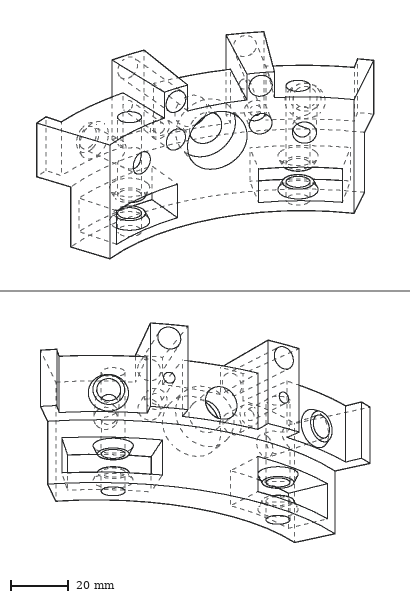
import cadquery as cq
import math

middle_angle = 30.0
half_span = 35.0
overall_length = 109.3

inner_radius = 79.7
lower_radius = 96.0
upper_radius = 103.5
first_end = math.radians(half_span - middle_angle)
last_end = math.radians(half_span + middle_angle)
flange_radius = overall_length / (math.sin(first_end) + math.sin(last_end))

shelf_height = 23.5
body_height = 44.6
rib_height = 54.7
window_floor = 3.9
window_ceiling = 17.0

flange_start = 32.0
rib_start, rib_end = 8.0, 15.0
window_start, window_end = 11.0, 32.0

port_height = 30.6
middle_bore_diameter = 12.0
middle_counterbore_diameter = 22.3
middle_counterbore_depth = 10.0

rib_hole_angle = (rib_start + rib_end) / 2
rib_upper_hole_height = 49.6
rib_upper_hole_diameter = 8.2
rib_screw_height = 34.8
rib_screw_diameter = 4.0
rib_counterbore_diameter = 8.0
rib_counterbore_depth = 10.0

pin_hole_diameter = 8.3
seat_base_diameter = 14.0
seat_tip_diameter = 11.0
seat_height = 3.1
radial_pin_angle = 22.5
vertical_pin_angle = 21.0
vertical_pin_radius = 88.0


def bearing_direction(bearing):
    """Unit vector pointing away from the ring axis at the given bearing."""
    angle = math.radians(bearing)
    return cq.Vector(-math.cos(angle), math.sin(angle), 0)


def ring_sector(radius, bottom, top, start, end):
    """Solid between the inner wall and a radius, over a range of bearings."""
    middle = (start + end) / 2

    def point(distance, bearing):
        return (bearing_direction(bearing) * distance).toTuple()[:2]

    return (
        cq.Workplane("XY", origin=(0, 0, bottom))
        .moveTo(*point(inner_radius, start))
        .lineTo(*point(radius, start))
        .threePointArc(point(radius, middle), point(radius, end))
        .lineTo(*point(inner_radius, end))
        .threePointArc(point(inner_radius, middle), point(inner_radius, start))
        .close()
        .extrude(top - bottom)
    )


def paired_sector(side, radius, bottom, top, near, far):
    """Ring sector on one side (+1 or -1) of the middle angle."""
    limits = sorted((middle_angle + side * near, middle_angle + side * far))
    return ring_sector(radius, bottom, top, *limits)


def radial_cylinder(bearing, height, diameter, start_radius, end_radius):
    """Cylinder along a radial line, between two distances from the ring axis."""
    direction = bearing_direction(bearing)
    start = direction * start_radius + cq.Vector(0, 0, height)
    return cq.Solid.makeCylinder(diameter / 2, end_radius - start_radius, start, direction)


def seat(base_centre, direction):
    """Conical seat standing on its wide end."""
    return cq.Solid.makeCone(
        seat_base_diameter / 2, seat_tip_diameter / 2, seat_height, base_centre, direction
    )


clearance = 5.5
cut_start = inner_radius - clearance
cut_end = flange_radius + clearance

span = (middle_angle - half_span, middle_angle + half_span)
result = ring_sector(lower_radius, 0, shelf_height, *span)
result = result.union(ring_sector(upper_radius, shelf_height, body_height, *span))

for side in (-1, 1):
    result = result.union(
        paired_sector(side, flange_radius, shelf_height, body_height, flange_start, half_span)
    )
    result = result.union(
        paired_sector(side, flange_radius, shelf_height, rib_height, rib_start, rib_end)
    )
    result = result.cut(
        paired_sector(side, flange_radius, window_floor, window_ceiling, window_start, window_end)
    )

result = result.cut(
    radial_cylinder(middle_angle, port_height, middle_bore_diameter, cut_start, cut_end)
)
result = result.cut(
    radial_cylinder(
        middle_angle,
        port_height,
        middle_counterbore_diameter,
        cut_start,
        inner_radius + middle_counterbore_depth,
    )
)

for side in (-1, 1):
    bearing = middle_angle + side * rib_hole_angle
    counterbore_end = inner_radius + rib_counterbore_depth
    for height, diameter, end_radius in (
        (rib_upper_hole_height, rib_upper_hole_diameter, cut_end),
        (rib_screw_height, rib_screw_diameter, cut_end),
        (rib_screw_height, rib_counterbore_diameter, counterbore_end),
    ):
        result = result.cut(radial_cylinder(bearing, height, diameter, cut_start, end_radius))

seat_base_radius = math.sqrt(upper_radius**2 - (seat_base_diameter / 2) ** 2)
up = cq.Vector(0, 0, 1)
for side in (-1, 1):
    radial_bearing = middle_angle + side * radial_pin_angle
    radial_direction = bearing_direction(radial_bearing)
    result = result.union(seat(radial_direction * seat_base_radius + up * port_height, radial_direction))

    pin_centre = bearing_direction(middle_angle + side * vertical_pin_angle) * vertical_pin_radius
    result = result.union(seat(pin_centre + up * window_floor, up))
    result = result.union(seat(pin_centre + up * window_ceiling, -up))

    result = result.cut(
        radial_cylinder(radial_bearing, port_height, pin_hole_diameter, cut_start, cut_end)
    )
    result = result.cut(
        cq.Solid.makeCylinder(pin_hole_diameter / 2, body_height, pin_centre, up)
    )